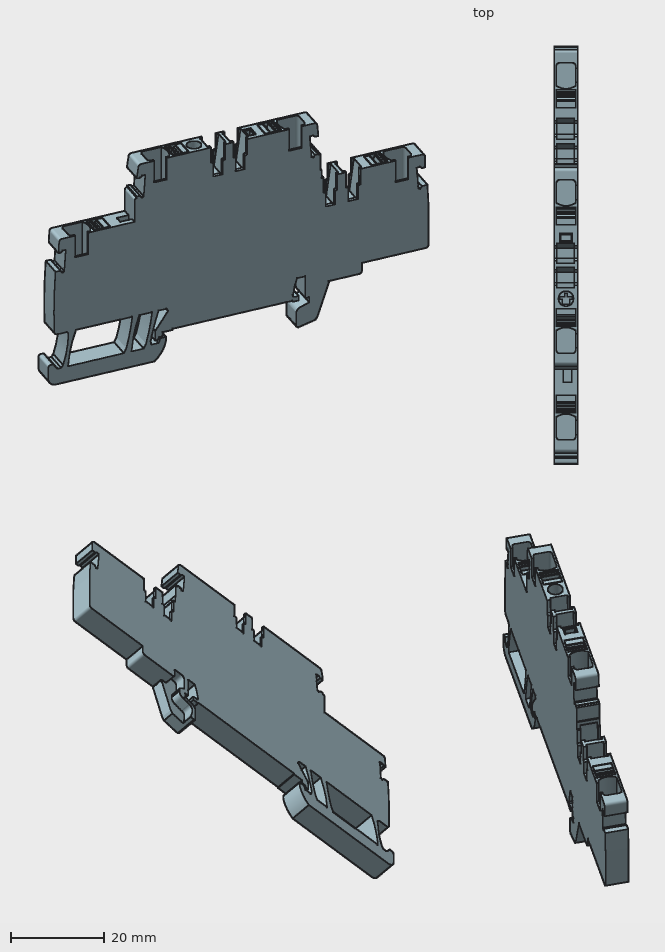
import cadquery as cq
import math


thickness = 5.1
tower_top = 50.2
deck_top = 36.1
belly_z = 12.5
rail_seat_z = 7.1
foot_floor_z = 3.9
tower_wall_y = -24.5
corner_radius = 0.7
root_z = belly_z + 0.9
cut_clearance = 0.9

terminals = [
    (41.3, -1, deck_top),
    (16.15, -1, tower_top),
    (-21.1, 1, tower_top),
    (-39.7, 1, deck_top),
]
well_width = 4.1
well_length = 5.6
well_bulge = 0.6
well_corner = 0.7
well_depth = 10.8
well_window_start = 1.2
well_window_length = 3.05
well_window_depth = 5.4
clamp_start = 5.8
clamp_length = 3.8
clamp_height = 9.0
clamp_width = well_width

marker_notches = [
    (44.1, -1, deck_top),
    (18.8, -1, tower_top),
    (-24.0, 1, tower_top),
    (-42.7, 1, deck_top),
]

notch_floor_drop = 7.8

bridge_slots = [
    (25.4, 28.8, deck_top),
    (20.1, 23.3, deck_top),
    (-1.2, 2.1, tower_top),
    (-6.5, -3.1, tower_top),
]
slot_depth = 7.4
slot_step_depth = 3.8
slot_step = 0.5
slot_skin_left = 0.5
slot_skin_right = 0.8
slot_widening = 0.5
slot_extra_depth = 0.45

test_hole_y = -9.3
test_hole_diameter = 3.2
test_hole_depth = 3.6
cross_recess_depth = 0.9
square_pocket_y = 3.8
square_pocket_length = 1.3
square_pocket_width = 2.2
square_pocket_rim = 0.3
square_pocket_depth = 3.6
key_slot_length = 2.8
key_slot_width = 1.8
key_slot_shift = 0.4
key_slot_depth = 2.7

web_recess = 2.4


def side_plate(wire, start=-thickness / 2, length=thickness):
    """Extrude a closed YZ outline along X."""
    return wire.close().extrude(length).translate((start, 0, 0))


def side_polygon(points):
    """Full-thickness plate from a straight-sided YZ outline."""
    return side_plate(cq.Workplane("YZ").polyline(points))


def block_body():
    """Long block with the tower on top."""
    taper_z = 23.0
    lower_lip_z = deck_top - notch_floor_drop
    upper_lip_z = tower_top - notch_floor_drop - 0.3
    deck = side_plate(
        cq.Workplane("YZ").moveTo(44.9, belly_z).lineTo(44.9, taper_z).lineTo(44.6, lower_lip_z)
        .lineTo(44.1, lower_lip_z).lineTo(44.1, deck_top).lineTo(-42.3, deck_top)
        .lineTo(-42.7, lower_lip_z).lineTo(-43.2, lower_lip_z)
        .threePointArc((-43.4, taper_z), (-43.4, belly_z))
    )
    ends = [(44.9, belly_z), (44.1, deck_top), (-42.3, deck_top), (-43.4, belly_z)]
    deck = round_corners(deck, ends, corner_radius)
    tower = side_plate(
        cq.Workplane("YZ").moveTo(20.1, taper_z).lineTo(20.1, deck_top - 0.3).lineTo(19.65, deck_top)
        .lineTo(19.65, 38.05).lineTo(19.4, 38.05).lineTo(19.4, upper_lip_z).lineTo(18.8, upper_lip_z)
        .lineTo(18.8, 47.2).lineTo(18.6, tower_top).lineTo(-23.5, tower_top).lineTo(-24.0, 47.2)
        .lineTo(-24.0, upper_lip_z - 0.2).threePointArc((-24.3, 41.7), (tower_wall_y, 41.4))
        .lineTo(tower_wall_y, taper_z)
    )
    tower = round_corners(tower, [(18.6, tower_top), (-23.5, tower_top)], corner_radius)
    return deck.union(tower)


def round_corners(plate, corners, radius):
    """Round the X-parallel edges that pass through the given YZ corners."""
    for y, z in corners:
        corner = cq.Vector(0, y, z)
        edge = plate.edges(cq.selectors.NearestToPointSelector(corner))
        plate = edge.fillet(radius)
    return plate


def underside_step():
    """Shallow step under the +Y half of the block."""
    bottom_corners = [(29.2, 9.9), (19.7, 9.9)]
    step = side_polygon([(29.2, root_z), *bottom_corners, (19.7, root_z)])
    return round_corners(step, bottom_corners, corner_radius)


def rail_seat():
    """Central part between the latch gap and the sprung foot, with both rail hooks."""
    return side_polygon([
        (13.8, root_z), (13.8, belly_z), (13.4, 10.95), (12.8, 8.4), (13.0, 8.0), (14.3, 7.9),
        (14.3, 6.8), (12.8, 6.8), (12.7, rail_seat_z), (-15.5, rail_seat_z), (-15.5, 6.8), (-17.9, 6.8),
        (-17.9, 5.9), (-18.75, 5.7), (-18.9, 5.2), (-19.65, 5.2), (-19.65, 7.5), (-16.6, 11.8),
        (-17.0, belly_z), (-17.0, root_z),
    ])


def latch():
    """Hooked latch at the +Y side; its outer web is thinned behind the hook strip."""
    body = side_plate(
        cq.Workplane("YZ").moveTo(20.1, root_z).lineTo(15.8, root_z).lineTo(15.8, 7.0)
        .lineTo(16.7, 7.0).lineTo(16.7, 5.7).lineTo(14.8, 5.1).threePointArc((14.0, 4.7), (13.6, 3.95))
        .lineTo(13.6, 0.45).lineTo(14.1, 0.1).lineTo(18.1, 1.0).lineTo(18.7, 1.7)
        .lineTo(21.45, 9.8).lineTo(20.1, 10.3)
    )
    recess = side_plate(
        cq.Workplane("YZ").moveTo(22.4, belly_z).lineTo(17.9, belly_z)
        .threePointArc((17.2, 12.2), (17.0, 11.5)).lineTo(17.0, 8.35).lineTo(17.95, 7.6)
        .threePointArc((18.3, 7.2), (18.3, 6.5)).threePointArc((18.1, 5.4), (17.4, 4.85))
        .lineTo(15.5, 4.2).threePointArc((14.7, 3.7), (14.6, 3.2))
        .lineTo(14.6, 2.0).lineTo(15.1, 0).lineTo(22.4, 0),
        length=web_recess,
    )
    return body.cut(recess)


def sprung_foot():
    """Foot hanging on three slanted struts."""
    foot = side_plate(
        cq.Workplane("YZ").moveTo(-17.0, root_z).lineTo(-17.05, 5.5).lineTo(-17.05, 4.7)
        .threePointArc((-17.95, 2.15), (-19.8, 0)).lineTo(-43.25, 0)
        .threePointArc((-44.3, 0.5), (-44.9, 1.8)).lineTo(-44.9, 4.6)
        .threePointArc((-44.7, 5.0), (-44.2, 5.2)).lineTo(-43.6, 5.2)
        .lineTo(-42.9, foot_floor_z + 0.2).lineTo(-42.6, foot_floor_z).lineTo(-41.8, foot_floor_z)
        .lineTo(-41.4, 4.5).threePointArc((-40.5, 8.1), (-40.1, belly_z - 0.45))
        .lineTo(-40.5, belly_z).lineTo(-40.5, root_z)
    )
    hook_gap = side_plate(
        cq.Workplane("YZ").moveTo(-15.25, belly_z).lineTo(-18.8, belly_z)
        .threePointArc((-19.8, 9.15), (-20.7, 5.2)).lineTo(-20.5, 4.4).lineTo(-18.8, 4.4)
        .lineTo(-18.4, 5.5).lineTo(-15.25, 5.5)
    )
    foot = foot.cut(hook_gap)
    for near_y, far_y in [(-20.4, -23.3), (-25.0, -38.3)]:
        foot = foot.cut(strut_window(near_y, far_y))
    return foot


def strut_window(near_y, far_y):
    """Opening between two struts, with both sides bowed the same way."""
    height = belly_z - foot_floor_z
    middle_z = foot_floor_z + height / 2
    return side_plate(
        cq.Workplane("YZ").moveTo(near_y, belly_z).lineTo(far_y, belly_z)
        .threePointArc((far_y - 1.3, middle_z), (far_y - 1.9, foot_floor_z))
        .lineTo(near_y - 2.0, foot_floor_z).lineTo(near_y - 1.4, foot_floor_z + 1.1)
        .threePointArc((near_y - 0.5, middle_z + 0.7), (near_y, belly_z))
    )


def marker_notch(lip_y, inward, top_z):
    """Undercut notch in an end face for a snap-in marker."""
    outline = [
        (-1.8, 3.3), (0.8, 3.4), (1.3, 3.0), (2.0, 3.05),
        (1.6, 8.3), (1.2, 8.5), (0.8, notch_floor_drop + 0.1), (-1.8, notch_floor_drop),
    ]
    return side_polygon([(lip_y + inward * depth, top_z - drop) for depth, drop in outline])


def bridge_slot(low_y, high_y, top_z):
    """Stepped slot through the block, widened between the side skins by sloped end walls."""
    step_z = top_z - slot_step_depth
    narrow_z = step_z - slot_step / 2
    floor_z = top_z - slot_depth
    mouth_z = top_z + cut_clearance
    narrow_low = low_y + slot_step
    narrow_high = high_y - slot_step
    stepped = side_polygon([
        (low_y, mouth_z), (low_y, step_z), (narrow_low, narrow_z), (narrow_low, floor_z),
        (narrow_high, floor_z), (narrow_high, narrow_z), (high_y, step_z), (high_y, mouth_z),
    ])
    wide_low = low_y - slot_widening
    wide_high = high_y + slot_widening
    wedge = cq.Workplane("YZ").polyline([
        (wide_low, mouth_z), (wide_low, top_z), (narrow_low, floor_z - slot_extra_depth),
        (narrow_high, floor_z - slot_extra_depth), (wide_high, top_z), (wide_high, mouth_z),
    ])
    wedge_width = thickness - slot_skin_left - slot_skin_right
    return stepped.union(side_plate(wedge, slot_skin_left - thickness / 2, wedge_width))


def terminal_block(y, inward, start, length, width, top_z, height):
    """Box hanging from a top face, placed by its distance from the outer edge of the well."""
    middle = y + inward * (start + length / 2)
    return cq.Workplane("XY").box(width, length, height).translate((0, middle, top_z - height / 2))


def wire_well(y, inward, top_z):
    """Wire entry with rounded outer corners and a bowed inner wall."""
    half = well_width / 2
    straight_y = y + inward * (well_length - well_bulge)
    corner_y = y + inward * well_corner
    blend = well_corner * (1 - math.sqrt(0.5))
    return (
        cq.Workplane("XY").workplane(offset=top_z - well_depth)
        .moveTo(-half, straight_y).lineTo(-half, corner_y)
        .threePointArc((-half + blend, y + inward * blend), (-half + well_corner, y))
        .lineTo(half - well_corner, y)
        .threePointArc((half - blend, y + inward * blend), (half, corner_y))
        .lineTo(half, straight_y)
        .threePointArc((0, y + inward * well_length), (-half, straight_y))
        .close().extrude(well_depth + cut_clearance)
    )


def well_window(y, inward, top_z):
    """Opening from the wire well through the +X wall."""
    window = terminal_block(
        y, inward, well_window_start, well_window_length, thickness / 2, top_z, well_window_depth,
    )
    return window.translate((thickness / 2, 0, 0))


def clamp_pocket(y, inward, top_z):
    """Rectangular recess beside the wire well."""
    return terminal_block(y, inward, clamp_start, clamp_length, clamp_width, top_z, clamp_height)


def wire_clamp(y, inward, top_z):
    """Clamp filling its pocket, with a stepped and grooved top."""
    shelf_drop = 0.2
    ridge_drop = 0.3
    groove_drop = 1.8
    outline = [
        (0, clamp_height), (0, ridge_drop), (0.4, ridge_drop), (0.6, groove_drop),
        (0.9, ridge_drop), (1.3, ridge_drop), (1.5, groove_drop), (2.1, 0.7), (2.4, 0.45),
        (2.4, shelf_drop), (clamp_length, shelf_drop), (clamp_length, clamp_height),
    ]
    points = [(y + inward * (clamp_start + run), top_z - drop) for run, drop in outline]
    return side_plate(cq.Workplane("YZ").polyline(points), -clamp_width / 2, clamp_width)


def test_hole():
    """Round hole with a cross-shaped recess in its floor; the -Y arm is the wide one."""
    top = cq.Workplane("XY").workplane(offset=tower_top).center(0, test_hole_y)
    hole = top.circle(test_hole_diameter / 2).extrude(-test_hole_depth)
    bar_half = 1.35
    bar_low = -0.2
    bar_high = 0.4
    slim_arm_half = 0.3
    wide_arm_half = 0.8
    arm_reach = 1.2
    cross = top.workplane(offset=-test_hole_depth).polyline([
        (-bar_half, bar_low), (-bar_half, bar_high), (-slim_arm_half, bar_high),
        (-slim_arm_half, arm_reach), (slim_arm_half, arm_reach), (slim_arm_half, bar_high),
        (bar_half, bar_high), (bar_half, bar_low), (wide_arm_half, bar_low),
        (wide_arm_half, -arm_reach), (-wide_arm_half, -arm_reach), (-wide_arm_half, bar_low),
    ]).close().extrude(-cross_recess_depth)
    return hole.union(cross)


def square_pocket():
    """Small rectangular pocket with a shallow rim."""
    top = cq.Workplane("XY").workplane(offset=tower_top).center(0, square_pocket_y)
    rim_length = square_pocket_length + 2 * square_pocket_rim
    rim_width = square_pocket_width + 2 * square_pocket_rim
    rim = top.rect(rim_width, rim_length).extrude(-square_pocket_rim)
    return rim.union(top.rect(square_pocket_width, square_pocket_length).extrude(-square_pocket_depth))


def key_slot():
    """Slot in the lower top face, ending at the tower wall."""
    middle_y = tower_wall_y - key_slot_length / 2
    box = cq.Workplane("XY").box(key_slot_width, key_slot_length, key_slot_depth)
    return box.translate((key_slot_shift, middle_y, deck_top - key_slot_depth / 2))


def make_housing():
    """Moulded housing with all its openings."""
    body = block_body().union(underside_step()).union(rail_seat()).union(sprung_foot()).union(latch())
    for notch in marker_notches:
        body = body.cut(marker_notch(*notch))
    for slot in bridge_slots:
        body = body.cut(bridge_slot(*slot))
    for terminal in terminals:
        body = body.cut(wire_well(*terminal)).cut(well_window(*terminal)).cut(clamp_pocket(*terminal))
    return body.cut(test_hole()).cut(square_pocket()).cut(key_slot())


housing = make_housing()
clamps = [wire_clamp(*terminal).val() for terminal in terminals]
result = cq.Compound.makeCompound([housing.val(), *clamps])